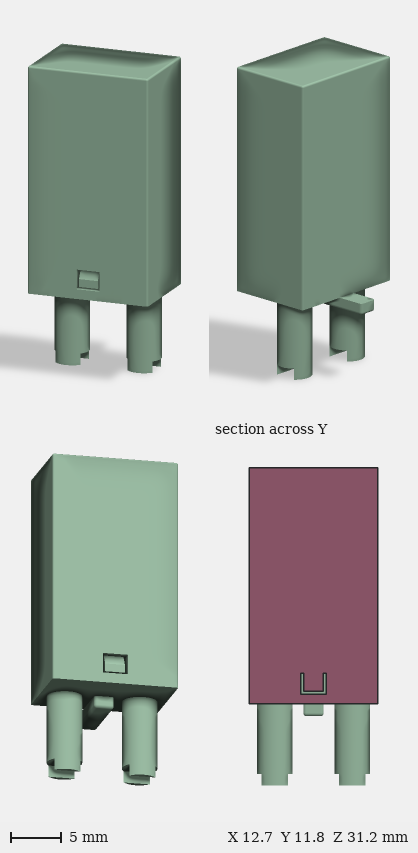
import cadquery as cq
import math

BODY_WIDTH = 12.7
BODY_DEPTH = 8.9
BODY_HEIGHT = 23.2
BODY_EDGE_RADIUS = 0.2

PIN_DIAMETER = 3.5
PIN_LENGTH = 8.0
PIN_SPACING = 7.6
PIN_Y = 1.0
SLOT_WIDTH = 2.3
SLOT_HEIGHT = 1.15

TAB_WIDTH = 2.0
TAB_THICKNESS = 1.2
TAB_OVERHANG = 2.9
TAB_EDGE_RADIUS = 0.3
TAB_FRONT_Y = 0.0

WINDOW_WIDTH = 2.5
WINDOW_HEIGHT = 2.0
WINDOW_BOTTOM_Z = 1.0
WINDOW_DEPTH = 1.5
NOSE_RECESS = 0.2
NOSE_BOTTOM_GAP = 0.2
NOSE_FACE_HEIGHT = 0.8
NOSE_SLOPE_ANGLE = 60.0

FRONT_Y = -BODY_DEPTH / 2
BACK_Y = BODY_DEPTH / 2


def make_body():
    """Box with rounded upright and top edges and a sharp bottom rim."""
    body = cq.Workplane("XY").box(BODY_WIDTH, BODY_DEPTH, BODY_HEIGHT, centered=(True, True, False))
    return body.edges("|Z or >Z").fillet(BODY_EDGE_RADIUS)


def make_pin(x):
    """Round pin hanging from the underside, its tip slotted along X."""
    pin = cq.Workplane("XY").center(x, PIN_Y).circle(PIN_DIAMETER / 2).extrude(-PIN_LENGTH)
    slot = (
        cq.Workplane("XY", origin=(x, PIN_Y, -PIN_LENGTH))
        .box(PIN_DIAMETER, SLOT_WIDTH, SLOT_HEIGHT, centered=(True, True, False))
    )
    return pin.cut(slot)


def make_tab():
    """Flat tab with rounded upright and bottom edges."""
    tab_length = BACK_Y + TAB_OVERHANG - TAB_FRONT_Y
    tab = (
        cq.Workplane("XY", origin=(0, TAB_FRONT_Y, -TAB_THICKNESS))
        .box(TAB_WIDTH, tab_length, TAB_THICKNESS, centered=(True, False, False))
    )
    return tab.edges("|Z or <Z").fillet(TAB_EDGE_RADIUS)


def make_window():
    """Volume of the blind window in the front face."""
    return (
        cq.Workplane("XY", origin=(0, FRONT_Y, WINDOW_BOTTOM_Z))
        .box(WINDOW_WIDTH, WINDOW_DEPTH, WINDOW_HEIGHT, centered=(True, False, False))
    )


def make_nose():
    """Latch nose: an upright front face below a slope that rises to the window top."""
    face_y = FRONT_Y + NOSE_RECESS
    wall_y = FRONT_Y + WINDOW_DEPTH
    bottom_z = WINDOW_BOTTOM_Z + NOSE_BOTTOM_GAP
    face_top_z = bottom_z + NOSE_FACE_HEIGHT
    top_z = WINDOW_BOTTOM_Z + WINDOW_HEIGHT
    slope_run = (top_z - face_top_z) / math.tan(math.radians(NOSE_SLOPE_ANGLE))
    return (
        cq.Workplane("YZ", origin=(-TAB_WIDTH / 2, 0, 0))
        .moveTo(wall_y, bottom_z)
        .lineTo(face_y, bottom_z)
        .lineTo(face_y, face_top_z)
        .lineTo(face_y + slope_run, top_z)
        .lineTo(wall_y, top_z)
        .close()
        .extrude(TAB_WIDTH)
    )


result = make_body().cut(make_window()).union(make_nose()).union(make_tab())
for pin_x in (-PIN_SPACING / 2, PIN_SPACING / 2):
    result = result.union(make_pin(pin_x))